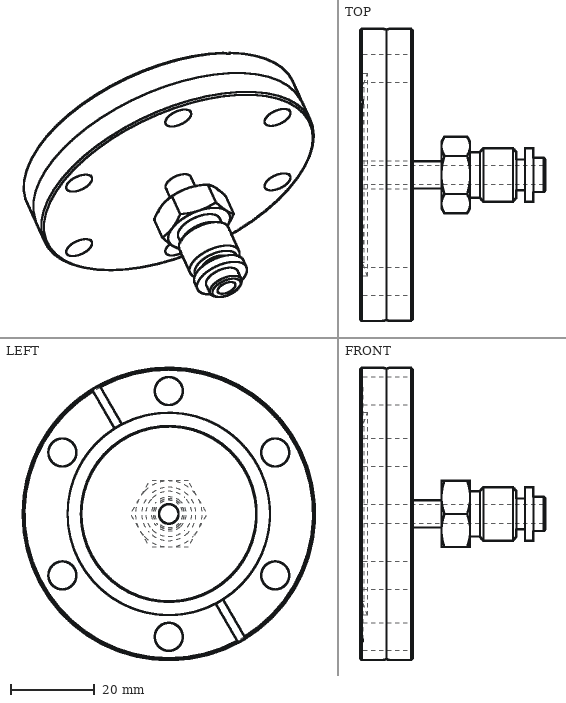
import cadquery as cq
import math

BORE_DIAMETER = 4.6

FLANGE_DIAMETER = 69.9
FLANGE_THICKNESS = 12.65
FLANGE_CHAMFER = 0.5
RIM_GROOVE_CENTRE = FLANGE_THICKNESS / 2
RIM_GROOVE_HALF_WIDTH = 0.7
RIM_GROOVE_DEPTH = 0.2

RECESS_DIAMETER = 48.4
KNIFE_EDGE_DIAMETER = 42.1
RECESS_FLOOR_DIAMETER = 41.7
KNIFE_EDGE_DEPTH = 0.6
KNIFE_SLOPE_ANGLE = 20.0
RECESS_FLOOR_DEPTH = 1.05

BOLT_COUNT = 6
BOLT_CIRCLE_DIAMETER = 58.7
BOLT_HOLE_DIAMETER = 6.65

LEAK_GROOVE_WIDTH = 2.0
LEAK_GROOVE_DEPTH = 0.7
LEAK_GROOVE_TILT = 30.0

HEX_START = 19.5
HEX_END = 26.35
BARREL_START = 28.65
BARREL_END = 37.4
COLLAR_START = 39.4
COLLAR_END = 41.45
FITTING_END = 44.4

TUBE_DIAMETER = 6.6
HEX_ACROSS_FLATS = 15.9
HEX_CHAMFER_ANGLE = 30.0
SHOULDER_DIAMETER = 10.9
BARREL_DIAMETER = 12.85
BARREL_CHAMFER_LENGTH = 0.85
NECK_DIAMETER = 7.4
COLLAR_DIAMETER = BARREL_DIAMETER
TIP_DIAMETER = 8.25
TIP_CHAMFER = 0.5


def cylinder(diameter, start, end):
    """Solid cylinder on the X axis between two X stations."""
    return cq.Workplane("YZ", origin=(start, 0, 0)).circle(diameter / 2).extrude(end - start)


def revolve_profile(points):
    """Revolve a closed outline of (x, radius) points about the X axis."""
    return cq.Workplane("XY").polyline(points).close().revolve(360, (0, 0, 0), (1, 0, 0))


def rim_groove():
    """Shallow V-shaped ring around the rim."""
    rim = FLANGE_DIAMETER / 2
    return revolve_profile([
        (RIM_GROOVE_CENTRE - RIM_GROOVE_HALF_WIDTH, rim),
        (RIM_GROOVE_CENTRE, rim - RIM_GROOVE_DEPTH),
        (RIM_GROOVE_CENTRE + RIM_GROOVE_HALF_WIDTH, rim),
    ])


def sealing_recess():
    """Material removed from the sealing face, leaving the knife edge."""
    outer = RECESS_DIAMETER / 2
    edge = KNIFE_EDGE_DIAMETER / 2
    floor = RECESS_FLOOR_DIAMETER / 2
    slope_drop = (outer - edge) * math.tan(math.radians(KNIFE_SLOPE_ANGLE))
    return revolve_profile([
        (0, 0),
        (0, outer),
        (KNIFE_EDGE_DEPTH + slope_drop, outer),
        (KNIFE_EDGE_DEPTH, edge),
        (RECESS_FLOOR_DEPTH, floor),
        (RECESS_FLOOR_DEPTH, 0),
    ])


def bolt_holes():
    return (
        cq.Workplane("YZ")
        .polarArray(BOLT_CIRCLE_DIAMETER / 2, 90, 360, BOLT_COUNT)
        .circle(BOLT_HOLE_DIAMETER / 2)
        .extrude(FLANGE_THICKNESS)
    )


def leak_grooves():
    """Two opposite arc-section grooves from the recess to the rim."""
    half_width = LEAK_GROOVE_WIDTH / 2
    radius = (half_width**2 + LEAK_GROOVE_DEPTH**2) / (2 * LEAK_GROOVE_DEPTH)
    axis_x = LEAK_GROOVE_DEPTH - radius
    reach = FLANGE_DIAMETER / 2 + LEAK_GROOVE_WIDTH
    rod = cq.Workplane("XY").center(axis_x, 0).circle(radius).extrude(reach, both=True)
    rod = rod.rotate((0, 0, 0), (1, 0, 0), -LEAK_GROOVE_TILT)
    return rod.cut(cylinder(RECESS_DIAMETER, -2 * radius, 2 * radius))


def make_flange():
    disc = cylinder(FLANGE_DIAMETER, 0, FLANGE_THICKNESS).edges().chamfer(FLANGE_CHAMFER)
    disc = disc.cut(rim_groove())
    disc = disc.cut(sealing_recess())
    disc = disc.cut(bolt_holes())
    disc = disc.cut(leak_grooves())
    return disc.cut(cylinder(BORE_DIAMETER, 0, FLANGE_THICKNESS))


def hexagon():
    """Hexagon with corners on the Y axis, conically chamfered at both ends."""
    across_corners = HEX_ACROSS_FLATS / math.cos(math.pi / 6)
    length = HEX_END - HEX_START
    prism = cq.Workplane("YZ", origin=(HEX_START, 0, 0)).polygon(6, across_corners).extrude(length)
    chamfer_width = (across_corners - HEX_ACROSS_FLATS) / 2
    chamfer_length = chamfer_width * math.tan(math.radians(HEX_CHAMFER_ANGLE))
    envelope = revolve_profile([
        (HEX_START, 0),
        (HEX_START, HEX_ACROSS_FLATS / 2),
        (HEX_START + chamfer_length, across_corners / 2),
        (HEX_END - chamfer_length, across_corners / 2),
        (HEX_END, HEX_ACROSS_FLATS / 2),
        (HEX_END, 0),
    ])
    return prism.intersect(envelope)


def barrel():
    """Cylinder tapering to the shoulder diameter at both ends."""
    return revolve_profile([
        (BARREL_START, 0),
        (BARREL_START, SHOULDER_DIAMETER / 2),
        (BARREL_START + BARREL_CHAMFER_LENGTH, BARREL_DIAMETER / 2),
        (BARREL_END - BARREL_CHAMFER_LENGTH, BARREL_DIAMETER / 2),
        (BARREL_END, SHOULDER_DIAMETER / 2),
        (BARREL_END, 0),
    ])


def make_fitting():
    body = cylinder(TUBE_DIAMETER, FLANGE_THICKNESS, HEX_START)
    body = body.union(hexagon())
    body = body.union(cylinder(SHOULDER_DIAMETER, HEX_END, BARREL_START))
    body = body.union(barrel())
    body = body.union(cylinder(NECK_DIAMETER, BARREL_END, COLLAR_START))
    body = body.union(cylinder(COLLAR_DIAMETER, COLLAR_START, COLLAR_END))
    tip = cylinder(TIP_DIAMETER, COLLAR_END, FITTING_END).faces(">X").chamfer(TIP_CHAMFER)
    body = body.union(tip)
    return body.cut(cylinder(BORE_DIAMETER, FLANGE_THICKNESS, FITTING_END))


flange = make_flange()
fitting = make_fitting()

result = cq.Compound.makeCompound([flange.val(), fitting.val()])